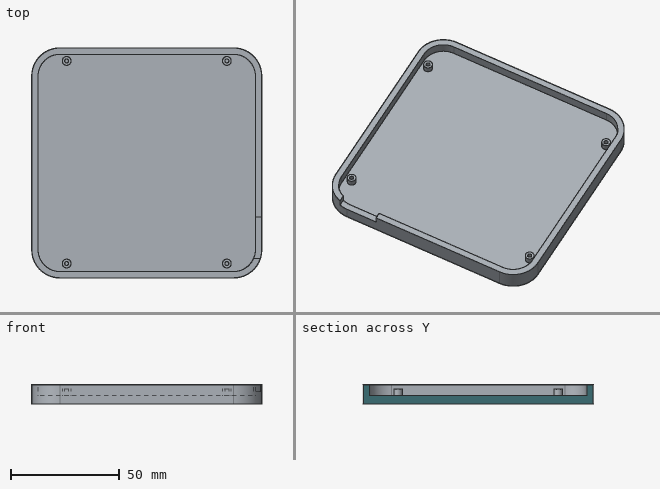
import cadquery as cq

SIDE = 106.0
HEIGHT = 9.0
CORNER_RADIUS = 13.0
WALL = 3.0
FLOOR = 4.0
CAVITY_SIDE = SIDE - 2 * WALL
CAVITY_RADIUS = CORNER_RADIUS - WALL

POST_DIAMETER = 4.0
POST_BORE = 1.8
POST_HEIGHT = 3.0
POST_SPACING_X = 73.8
POST_SPACING_Y = 93.3
POST_CENTER_Y = 0.3

NOTCH_Y_MIN = -44.0
NOTCH_Y_MAX = -24.8
NOTCH_DEPTH = 3.2
NOTCH_REACH = 2 * WALL


def rounded_block(side, radius, bottom, top):
    """Square block centred on Z with rounded vertical edges."""
    block = cq.Workplane("XY").workplane(offset=bottom).rect(side, side).extrude(top - bottom)
    return block.edges("|Z").fillet(radius)


def post_pattern():
    """Post centres on the floor surface."""
    return (
        cq.Workplane("XY")
        .workplane(offset=FLOOR)
        .center(0, POST_CENTER_Y)
        .rect(POST_SPACING_X, POST_SPACING_Y, forConstruction=True)
        .vertices()
    )


tray = rounded_block(SIDE, CORNER_RADIUS, 0, HEIGHT)
tray = tray.cut(rounded_block(CAVITY_SIDE, CAVITY_RADIUS, FLOOR, HEIGHT))

notch = cq.Workplane("XY").box(
    NOTCH_REACH, NOTCH_Y_MAX - NOTCH_Y_MIN, NOTCH_DEPTH, centered=False
).translate((SIDE / 2 - NOTCH_REACH, NOTCH_Y_MIN, HEIGHT - NOTCH_DEPTH))
tray = tray.cut(notch)

posts = post_pattern().circle(POST_DIAMETER / 2).extrude(POST_HEIGHT)
bores = post_pattern().circle(POST_BORE / 2).extrude(POST_HEIGHT)

result = tray.union(posts).cut(bores)